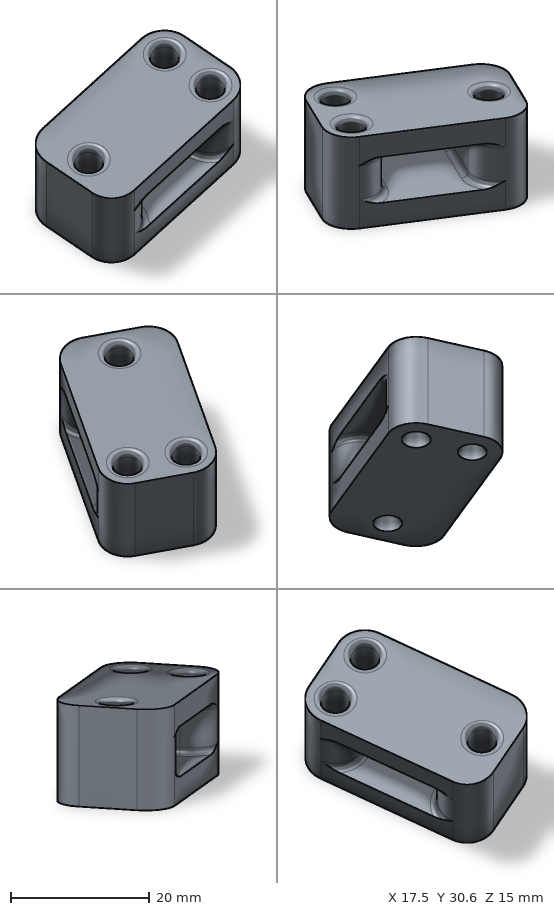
import cadquery as cq

width = 17.5
length = 30.65
height = 15.0
corner_radius = width / 4

window_height = height / 2
window_fillet = 1.0
post_depth = 2 * corner_radius

hole_diameter = 4.2
hole_rim_fillet = 1.0
hole_x = width / 2 - corner_radius
hole_y = length / 2 - corner_radius
hole_centers = [(-hole_x, hole_y), (hole_x, hole_y), (0, -hole_y)]


def make_block():
    """Block with rounded vertical corners, standing on Z = 0."""
    block = cq.Workplane("XY").box(width, length, height, centered=(True, True, False))
    return block.edges("|Z").fillet(corner_radius)


def make_post(center_y):
    """Stadium-shaped end post spanning the full width of the block."""
    post = cq.Workplane("XY").center(0, center_y).slot2D(width, post_depth)
    return post.extrude(height)


def make_window():
    """Space between the end posts, rounded where the posts meet the plates."""
    blank = (
        cq.Workplane("XY")
        .workplane(offset=(height - window_height) / 2)
        .rect(width, 2 * hole_y)
        .extrude(window_height)
    )
    window = blank.cut(make_post(hole_y)).cut(make_post(-hole_y))
    post_edges = window.faces("|Z").edges("not(<X or >X)")
    return post_edges.fillet(window_fillet)


def make_holes():
    """Vertical through holes at the three screw positions."""
    return cq.Workplane("XY").pushPoints(hole_centers).circle(hole_diameter / 2).extrude(height)


def round_hole_rims(body):
    """Round the upper rim of every screw hole."""
    top_arcs = body.faces(">Z").edges("%CIRCLE")
    return top_arcs.edges(cq.selectors.RadiusNthSelector(0)).fillet(hole_rim_fillet)


body = make_block().cut(make_window()).cut(make_holes())
result = round_hole_rims(body)